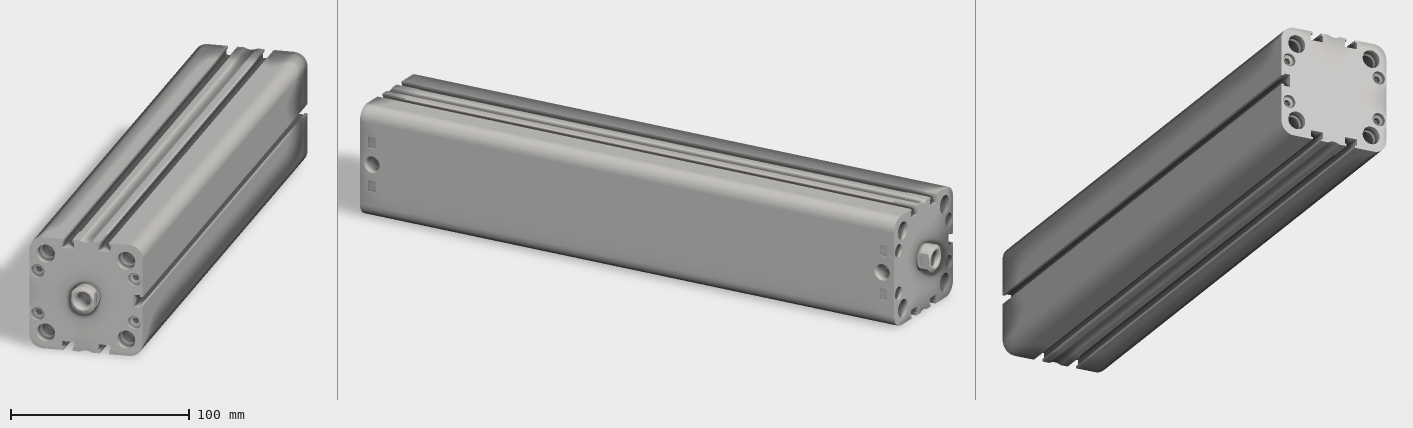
import cadquery as cq

total_length = 353.0
side = 65.5
corner_radius = 7.8
rod_reach = 7.8
cap_length = 15.0

half_side = side / 2
rear_y = total_length / 2
rod_tip_y = -rear_y
front_y = rod_tip_y + rod_reach
housing_length = rear_y - front_y
tube_length = housing_length - 2 * cap_length

slot_spacing = 21.2
slot_mouth_width = 5.3
slot_inner_width = 7.5
slot_lip = 1.5
slot_depth = 5.3
groove_width = 7.0
groove_depth = 1.0
rib_bevel = 0.7

mount_spacing = 46.5
mount_bore_diameter = 6.7
mount_steps = [(10.5, 5.3), (8.0, 14.0)]

screw_spacing_x = 56.0
screw_spacing_z = 25.5
screw_steps = [(7.8, 2.5)]
screw_socket_width = 4.2
screw_socket_depth = 5.0

port_diameter = 8.5
port_mouth_diameter = 10.0
port_depth = 9.0
port_inset = 7.8
passage_diameter = 3.5
passage_depth = 14.0
passage_shift = 1.8

pocket_length = 5.0
pocket_height = 6.7
pocket_depth = 0.7
pocket_inset = 7.5
pocket_spacing = 26.0

rod_diameter = 16.0
rod_bore_diameter = 16.5
rod_depth = cap_length
rod_chamfer_length = 1.0
rod_chamfer_inset = 1.8
rod_flat_width = 13.0
rod_flat_start = 0.7
rod_flat_fillet = 1.5
thread_diameter = 8.5
thread_mouth_diameter = 10.5
thread_depth = 14.0
thread_tip_diameter = 3.5

along_x = cq.Vector(1, 0, 0)
along_y = cq.Vector(0, 1, 0)


def spaced_pair(spacing):
    return (-spacing / 2, spacing / 2)


def cylinder(start, direction, diameter, length):
    return cq.Workplane(cq.Solid.makeCylinder(diameter / 2, length, cq.Vector(*start), direction))


def cone(start, direction, start_diameter, end_diameter):
    """A 45-degree cone frustum that narrows from start_diameter to end_diameter."""
    length = (start_diameter - end_diameter) / 2
    return cq.Workplane(
        cq.Solid.makeCone(start_diameter / 2, end_diameter / 2, length, cq.Vector(*start), direction)
    )


def body_block(start_y, length):
    block = cq.Workplane("XY").box(side, length, side).edges("|Y").fillet(corner_radius)
    return block.translate((0, start_y + length / 2, 0))


def prism(points, start_y, length):
    """An (x, z) outline extruded from start_y toward +Y."""
    plane = cq.Plane(origin=(0, start_y, 0), xDir=(1, 0, 0), normal=(0, -1, 0))
    return cq.Workplane(plane).polyline(points).close().extrude(-length)


def t_slot(x):
    """T-slot open at the +Z side."""
    mouth = slot_mouth_width / 2
    inner = slot_inner_width / 2
    lip_z = half_side - slot_lip
    floor_z = half_side - slot_depth
    outline = [
        (x - mouth, half_side), (x - mouth, lip_z), (x - inner, lip_z), (x - inner, floor_z),
        (x + inner, floor_z), (x + inner, lip_z), (x + mouth, lip_z), (x + mouth, half_side),
    ]
    return prism(outline, front_y, housing_length)


def groove():
    """Shallow round groove in the middle of the +Z side."""
    radius = ((groove_width / 2) ** 2 + groove_depth**2) / (2 * groove_depth)
    centre_z = half_side - groove_depth + radius
    return cylinder((0, front_y, centre_z), along_y, 2 * radius, housing_length)


def rib_bevels():
    """Bevels on the tube between the two slots of the +Z side."""
    edge = (slot_spacing - slot_mouth_width) / 2
    bevels = []
    for sign in (-1, 1):
        outline = [
            (sign * edge, half_side),
            (sign * (edge - rib_bevel), half_side),
            (sign * edge, half_side - rib_bevel),
        ]
        bevels.append(prism(outline, front_y + cap_length, tube_length))
    return bevels


def turned(shape, angle):
    return shape.rotate((0, 0, 0), (0, 1, 0), angle)


def cut_slots(body):
    for angle in (0, 180):
        for x in spaced_pair(slot_spacing):
            body = body.cut(turned(t_slot(x), angle), clean=False)
        body = body.cut(turned(groove(), angle), clean=False)
        for bevel in rib_bevels():
            body = body.cut(turned(bevel, angle), clean=False)
    return body.cut(turned(t_slot(0), 90), clean=False)


def cut_stepped_holes(body, spacing_x, spacing_z, steps):
    """Cut the same stepped hole into both end faces at the four corners of a rectangle."""
    for x in spaced_pair(spacing_x):
        for z in spaced_pair(spacing_z):
            for diameter, depth in steps:
                body = body.cut(cylinder((x, front_y, z), along_y, diameter, depth), clean=False)
                body = body.cut(cylinder((x, rear_y, z), -along_y, diameter, depth), clean=False)
    return body


def cut_mount_bores(body):
    for x in spaced_pair(mount_spacing):
        for z in spaced_pair(mount_spacing):
            bore = cylinder((x, front_y, z), along_y, mount_bore_diameter, housing_length)
            body = body.cut(bore, clean=False)
    return body


def cut_screw_sockets(body):
    for x in spaced_pair(screw_spacing_x):
        for z in spaced_pair(screw_spacing_z):
            for y, depth in ((front_y, -screw_socket_depth), (rear_y, screw_socket_depth)):
                plane = cq.Workplane("XZ", origin=(x, y, z))
                socket = plane.polygon(6, screw_socket_width).extrude(depth)
                body = body.cut(socket, clean=False)
    return body


def cut_port(body, end_y, inward):
    """Cut a port, its air passage and its two pockets; inward points from the end into the cap."""
    start = (-half_side, end_y + inward * port_inset, 0)
    passage_start = (-half_side, end_y + inward * (port_inset + passage_shift), 0)
    body = body.cut(cone(start, along_x, port_mouth_diameter, port_diameter), clean=False)
    body = body.cut(cylinder(start, along_x, port_diameter, port_depth), clean=False)
    body = body.cut(cylinder(passage_start, along_x, passage_diameter, passage_depth), clean=False)
    for z in spaced_pair(pocket_spacing):
        pocket = cq.Workplane("XY").box(2 * pocket_depth, pocket_length, pocket_height)
        pocket = pocket.translate((-half_side, end_y + inward * pocket_inset, z))
        body = body.cut(pocket, clean=False)
    return body


def make_housing():
    """Tube and both end caps in one piece; the seams between them stay as face edges."""
    body = body_block(front_y + cap_length, tube_length)
    for start_y in (front_y, rear_y - cap_length):
        body = body.union(body_block(start_y, cap_length), clean=False)
    body = cut_slots(body)
    body = cut_mount_bores(body)
    body = cut_stepped_holes(body, mount_spacing, mount_spacing, mount_steps)
    body = cut_stepped_holes(body, screw_spacing_x, screw_spacing_z, screw_steps)
    body = cut_screw_sockets(body)
    body = cut_port(body, front_y, 1)
    body = cut_port(body, rear_y, -1)
    return body.cut(cylinder((0, front_y, 0), along_y, rod_bore_diameter, rod_depth), clean=False)


def flat_cutter():
    """Block that leaves a wrench flat on the +X side of the rod, with a rounded inner end."""
    length = rod_reach - rod_flat_start
    block = cq.Workplane("XY").box(rod_diameter, length, rod_diameter)
    block = block.edges("<X and >Y").fillet(rod_flat_fillet)
    return block.translate(((rod_flat_width + rod_diameter) / 2, rod_tip_y + length / 2, 0))


def make_rod():
    """Piston rod with two wrench flats and a threaded hole in its tip."""
    tip = (0, rod_tip_y, 0)
    rod = cylinder(tip, along_y, rod_diameter, rod_reach + rod_depth)
    rod = rod.faces("<Y").chamfer(rod_chamfer_length, rod_chamfer_inset)
    for angle in (0, 180):
        rod = rod.cut(turned(flat_cutter(), angle))
    rod = rod.cut(cone(tip, along_y, thread_mouth_diameter, thread_diameter))
    rod = rod.cut(cylinder(tip, along_y, thread_diameter, thread_depth))
    thread_end = (0, rod_tip_y + thread_depth, 0)
    return rod.cut(cone(thread_end, along_y, thread_diameter, thread_tip_diameter))


housing = make_housing()
rod = make_rod()
result = cq.Compound.makeCompound([housing.val(), rod.val()])